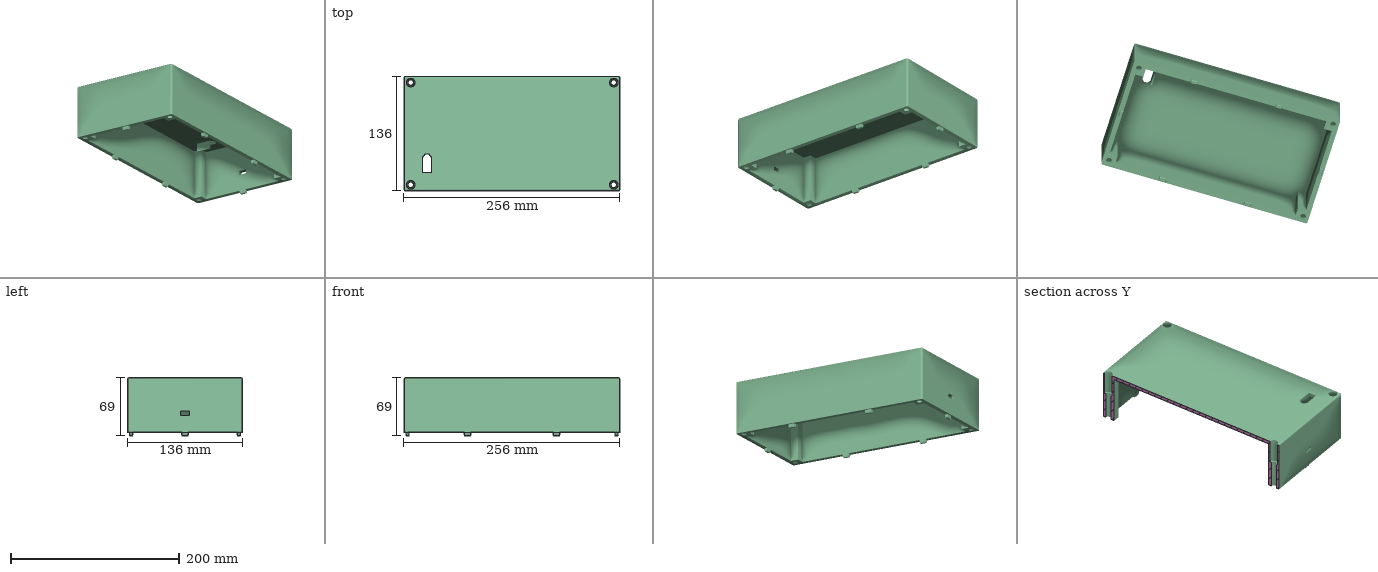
import cadquery as cq

LENGTH = 256.0
WIDTH = 136.0
HEIGHT = 65.0
WALL = 6.0
TOP_THICKNESS = 5.0
EDGE_RADIUS = 2.0

SCREW_DIAMETER = 6.5
COUNTERBORE_DIAMETER = 10.2
COUNTERBORE_DEPTH = 30.0
SCREW_PITCH_X = 241.0
SCREW_PITCH_Y = 121.4
SCREW_PATTERN_CENTER_X = 0.3
POST_SIDE = 16.0

TAB_LENGTH = 8.0
TAB_THICKNESS = 4.0
TAB_HEIGHT = 4.0
TAB_INSET = 4.0
TAB_TIP_HEIGHT = 1.7
TAB_TIP_SETBACK = 0.5
LONG_WALL_TAB_X = 52.7

WINDOW_WIDTH = 10.2
WINDOW_LENGTH = 21.7
WINDOW_CENTER_X = -100.9
WINDOW_CENTER_Y = -35.2
WINDOW_CHAMFER_X = 3.0
WINDOW_CHAMFER_Y = 3.5

RIB_THICKNESS = 2.0
RIB_DEPTH = 10.0

PORT_WIDTH = 11.0
PORT_HEIGHT = 5.0
PORT_CENTER_Z = 22.7
PORT_CORNER_RADIUS = 1.5


def screw_centers():
    return [
        (SCREW_PATTERN_CENTER_X + side_x * SCREW_PITCH_X / 2, side_y * SCREW_PITCH_Y / 2)
        for side_x in (-1, 1)
        for side_y in (-1, 1)
    ]


def rounded_block():
    block = cq.Workplane("XY").box(LENGTH, WIDTH, HEIGHT, centered=(True, True, False))
    return block.edges("|Z or >Z").fillet(EDGE_RADIUS)


def cavity():
    """Inner space, with the four corners left solid as screw posts."""
    depth = HEIGHT - TOP_THICKNESS
    inner = cq.Workplane("XY").rect(LENGTH - 2 * WALL, WIDTH - 2 * WALL).extrude(depth)
    posts = (
        cq.Workplane("XY")
        .rect(LENGTH - POST_SIDE, WIDTH - POST_SIDE, forConstruction=True)
        .vertices()
        .rect(POST_SIDE, POST_SIDE)
        .extrude(depth)
    )
    return inner.cut(posts)


def tab(x, y, size_x, size_y):
    """Straight tab hanging from the rim, tapered on all sides at its tip."""
    straight_height = TAB_HEIGHT - TAB_TIP_HEIGHT
    straight = (
        cq.Workplane("XY")
        .center(x, y)
        .rect(size_x, size_y)
        .extrude(-straight_height)
    )
    tip = (
        cq.Workplane("XY", origin=(x, y, -straight_height))
        .rect(size_x, size_y)
        .workplane(offset=-TAB_TIP_HEIGHT)
        .rect(size_x - 2 * TAB_TIP_SETBACK, size_y - 2 * TAB_TIP_SETBACK)
        .loft(ruled=True)
    )
    return straight.union(tip)


def add_tabs(body):
    for side in (-1, 1):
        end_x = side * (LENGTH / 2 - TAB_INSET)
        body = body.union(tab(end_x, 0, TAB_THICKNESS, TAB_LENGTH))
        wall_y = side * (WIDTH / 2 - TAB_INSET)
        for tab_x in (-LONG_WALL_TAB_X, LONG_WALL_TAB_X):
            body = body.union(tab(tab_x, wall_y, TAB_LENGTH, TAB_THICKNESS))
    return body


def window():
    half_width = WINDOW_WIDTH / 2
    half_length = WINDOW_LENGTH / 2
    return (
        cq.Workplane("XY", origin=(WINDOW_CENTER_X, WINDOW_CENTER_Y, HEIGHT - TOP_THICKNESS))
        .moveTo(-half_width, -half_length)
        .lineTo(half_width, -half_length)
        .lineTo(half_width, half_length - WINDOW_CHAMFER_Y)
        .lineTo(half_width - WINDOW_CHAMFER_X, half_length)
        .lineTo(WINDOW_CHAMFER_X - half_width, half_length)
        .lineTo(-half_width, half_length - WINDOW_CHAMFER_Y)
        .close()
        .extrude(TOP_THICKNESS)
    )


def window_rib():
    """Rib along the straight part of the window's +X side."""
    rib_length = WINDOW_LENGTH - WINDOW_CHAMFER_Y
    corner = (
        WINDOW_CENTER_X + WINDOW_WIDTH / 2,
        WINDOW_CENTER_Y - WINDOW_LENGTH / 2,
        HEIGHT - TOP_THICKNESS - RIB_DEPTH,
    )
    return cq.Workplane("XY", origin=corner).box(RIB_THICKNESS, rib_length, RIB_DEPTH, centered=False)


def port():
    return (
        cq.Workplane("YZ", origin=(-LENGTH / 2, 0, PORT_CENTER_Z))
        .rect(PORT_WIDTH, PORT_HEIGHT)
        .extrude(WALL)
        .edges("|X")
        .fillet(PORT_CORNER_RADIUS)
    )


def drill_screw_passages(body):
    return (
        body.copyWorkplane(cq.Workplane("XY", origin=(0, 0, HEIGHT)))
        .pushPoints(screw_centers())
        .cboreHole(SCREW_DIAMETER, COUNTERBORE_DIAMETER, COUNTERBORE_DEPTH)
    )


result = rounded_block().cut(cavity())
result = add_tabs(result)
result = result.union(window_rib())
result = result.cut(window()).cut(port())
result = drill_screw_passages(result)